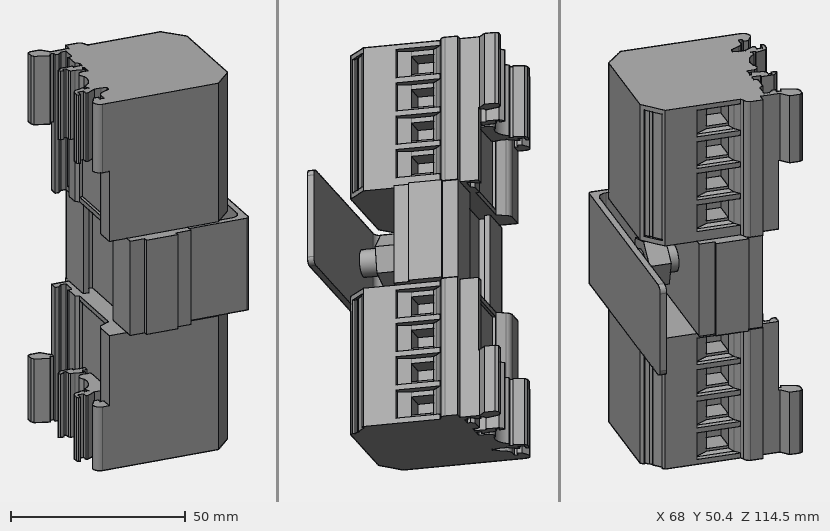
import cadquery as cq
import math


total_height = 114.5
plate_thickness = 1.5
terminal_pitch = 10.1
terminal_count = 4
stack_height = terminal_count * terminal_pitch
lower_top = stack_height + plate_thickness
upper_bottom = total_height - stack_height - 2 * plate_thickness
carrier_mid_z = (lower_top + upper_bottom) / 2

body_left = -20.3
body_right = 19.9
body_back = 36.0
chamfer_y = 30.3
chamfer_left_x = -14.3
chamfer_right_x = 14.0
ledge_x = -22.7
ledge_bottom = 1.6
ledge_top = 7.5
foot_face = -3.9
leg_inner_x = -18.8
leg_tip_x = -17.6
foot_start_x = 14.1

lower_clip_height = 19.9
upper_clip_height = 21.4
clip_root = 2.3
foot_overlap = 0.6
clip_tip = -10.4

recess_depth = 0.9
narrow_recess = (leg_tip_x, -14.9)
wide_recess = (-9.3, 10.3)

window_height = 8.5
window_top_y = 20.7
window_floor_y = 9.0
window_depth = 1.7
funnel_depth = 1.1
funnel_rise = 0.7
socket_top_y = 17.0
socket_bottom_y = 10.3
socket_margin = 1.5
socket_depth = 6.9

groove_depth = 0.7
groove_low_y = 31.0
groove_high_y = 35.0
slot_depth = 0.9
slot_low_y = 33.4
slot_high_y = 34.1

carrier_half_x = 22.2
carrier_rib = 1.3
carrier_back = 20.7
rib_low_y = 6.2
rib_high_y = 16.0
carrier_pocket_half = 10.3
carrier_lip = 1.7
carrier_pocket_depth = 4.1
carrier_undercut = 2.9

tag_thickness = 2.0
tag_left = -44.5
tag_right = 20.3
tag_back = 40.0
tag_height = 28.7
tag_outer_radius = 0.9
tag_inner_radius = 2.7
tag_corner_radius = 2.1

stud_diameter = 8.0
stud_end = 36.4
nut_across_corners = 15.3
nut_low_y = 24.2
nut_high_y = 30.7
nut_turn = 16.3


def box_between(x_range, y_range, z_range):
    """Axis-aligned box given by its limits."""
    return (
        cq.Workplane("XY", origin=(x_range[0], y_range[0], z_range[0]))
        .box(x_range[1] - x_range[0], y_range[1] - y_range[0], z_range[1] - z_range[0], centered=False)
    )


def block_outline():
    """Terminal block outline, without the rail clips."""
    return (
        cq.Workplane("XY")
        .moveTo(body_left, ledge_top)
        .lineTo(body_left, chamfer_y)
        .lineTo(chamfer_left_x, body_back)
        .lineTo(chamfer_right_x, body_back)
        .lineTo(body_right, chamfer_y)
        .lineTo(body_right, foot_face)
        .lineTo(foot_start_x, foot_face)
        .threePointArc((12.9, -3.5), (12.1, -2.6))
        .lineTo(10.8, 0)
        .lineTo(-9.3, 0)
        .lineTo(-10.0, -1.1)
        .lineTo(-14.2, -1.1)
        .lineTo(-14.9, 0)
        .lineTo(leg_inner_x, 0)
        .lineTo(leg_inner_x, -1.6)
        .lineTo(leg_tip_x, -2.7)
        .lineTo(leg_tip_x, foot_face)
        .lineTo(body_left, foot_face)
        .lineTo(body_left, ledge_bottom)
        .lineTo(ledge_x, ledge_bottom)
        .lineTo(ledge_x, 5.4)
        .threePointArc((-22.2, 6.4), (-21.2, 7.0))
        .close()
    )


def left_clip():
    """Latch hanging from the leg."""
    return cq.Workplane("XY").polyline([
        (body_left, foot_face + foot_overlap), (leg_inner_x, foot_face + foot_overlap),
        (leg_inner_x, -5.0), (leg_tip_x, -5.4),
        (-19.1, -9.8), (-20.2, clip_tip), (-22.1, clip_tip), (ledge_x, -9.5),
        (ledge_x, -6.4), (body_left, -4.2),
    ]).close()


def middle_clip():
    """Slim hook left of the saddle."""
    return cq.Workplane("XY").polyline([
        (-7.7, clip_root), (-7.7, -2.6), (-8.4, -2.6), (-8.4, -6.5),
        (-7.1, -7.8), (-6.8, -7.8), (-6.4, -7.3),
        (-6.4, -6.2), (-7.3, -6.2), (-7.3, -5.2), (-6.0, -5.0), (-5.4, -4.6),
        (-5.3, -3.2), (-4.8, -1.6), (-4.7, -0.2),
        (-5.5, -0.7), (-6.2, -0.5), (-6.2, clip_root),
    ]).close()


def saddle_clip():
    """Arched saddle that ends in a hook on its right."""
    return (
        cq.Workplane("XY")
        .moveTo(-3.5, clip_root)
        .lineTo(-3.5, -2.2)
        .threePointArc((-1.7, -3.4), (-0.3, -2.7))
        .threePointArc((3.1, -2.9), (6.1, -5.3))
        .lineTo(7.1, -5.3)
        .lineTo(7.7, -4.8)
        .lineTo(7.7, -6.2)
        .lineTo(6.9, -6.2)
        .lineTo(7.9, -9.4)
        .lineTo(8.9, -10.0)
        .lineTo(10.6, -10.0)
        .lineTo(11.2, -9.6)
        .lineTo(11.2, -8.9)
        .lineTo(9.2, -8.9)
        .lineTo(9.2, -7.1)
        .lineTo(10.8, -7.1)
        .lineTo(10.8, -6.4)
        .lineTo(9.2, -3.7)
        .lineTo(9.2, -1.6)
        .lineTo(9.6, 0)
        .lineTo(9.6, clip_root)
        .close()
    )


def right_clip():
    """Rounded hook below the foot."""
    return (
        cq.Workplane("XY")
        .moveTo(body_right, foot_face + foot_overlap)
        .lineTo(16.1, foot_face + foot_overlap)
        .lineTo(16.1, -5.0)
        .lineTo(14.9, -5.0)
        .lineTo(14.9, -6.5)
        .lineTo(17.3, -8.0)
        .threePointArc((19.1, -7.5), (body_right, -6.1))
        .close()
    )


def window_cutter(z_low):
    """Wire entry: shallow window, tapered funnel and square socket."""
    z_high = z_low + window_height
    funnel_x = body_left + window_depth
    socket_x = funnel_x + funnel_depth
    socket_y = (socket_bottom_y, socket_top_y)
    socket_z = z_low + socket_margin

    window = (
        cq.Workplane("XY", origin=(0, 0, z_low))
        .polyline([
            (body_left, ledge_top), (body_left, window_top_y),
            (funnel_x, window_top_y), (funnel_x, window_floor_y),
        ])
        .close()
        .extrude(window_height)
    )
    mouth = [
        (window_floor_y, z_low), (window_top_y, z_low),
        (window_top_y, z_high), (window_floor_y, z_high),
    ]
    throat_z = z_low + funnel_rise
    throat = [
        (socket_bottom_y, throat_z), (socket_top_y, throat_z),
        (socket_top_y, z_high), (socket_bottom_y, z_high),
    ]
    funnel = (
        cq.Workplane("YZ", origin=(funnel_x, 0, 0))
        .polyline(mouth).close()
        .workplane(offset=funnel_depth)
        .polyline(throat).close()
        .loft(ruled=True)
    )
    socket = box_between((socket_x, socket_x + socket_depth), socket_y, (socket_z, z_high - socket_margin))
    return window.union(funnel).union(socket)


def groove_cutter(low_y, high_y, depth, z_low, height):
    """Groove cut square to the left chamfer, between two Y places on it."""
    run = chamfer_left_x - body_left
    rise = body_back - chamfer_y
    length = math.hypot(run, rise)
    inward = (rise / length * depth, -run / length * depth)

    def on_chamfer(y):
        return body_left + (y - chamfer_y) * run / rise, y

    low = on_chamfer(low_y)
    high = on_chamfer(high_y)
    return (
        cq.Workplane("XY", origin=(0, 0, z_low))
        .polyline([
            low, high,
            (high[0] + inward[0], high[1] + inward[1]),
            (low[0] + inward[0], low[1] + inward[1]),
        ])
        .close()
        .extrude(height)
    )


def terminal_block(z_low, z_high, clip_low, clip_height):
    """Stack of terminals whose top plate ends at z_high."""
    stack_top = z_high - plate_thickness
    stack_bottom = stack_top - stack_height

    block = block_outline().extrude(z_high - z_low).translate((0, 0, z_low))
    for x_range in (narrow_recess, wide_recess):
        block = block.cut(box_between(x_range, (0, recess_depth), (stack_bottom, stack_top)))
    block = block.cut(groove_cutter(groove_low_y, groove_high_y, groove_depth, stack_bottom, stack_height))
    block = block.cut(groove_cutter(slot_low_y, slot_high_y, slot_depth, stack_bottom, stack_height))
    for i in range(terminal_count):
        block = block.cut(window_cutter(stack_top - i * terminal_pitch - window_height))
    for clip in (left_clip, middle_clip, saddle_clip, right_clip):
        block = block.union(clip().extrude(clip_height).translate((0, 0, clip_low)))
    return block


def carrier():
    """Centre piece between the blocks, with side ribs and an undercut front pocket."""
    z_range = (lower_top, upper_bottom)
    rib_half_x = carrier_half_x + carrier_rib
    body = box_between((-carrier_half_x, carrier_half_x), (ledge_bottom, carrier_back), z_range)
    ribs = box_between((-rib_half_x, rib_half_x), (rib_low_y, rib_high_y), z_range)
    pocket = box_between(
        (-carrier_pocket_half, carrier_pocket_half),
        (ledge_bottom, ledge_bottom + carrier_pocket_depth),
        z_range,
    )
    undercut_half = carrier_pocket_half + carrier_undercut
    undercut = box_between(
        (-undercut_half, undercut_half),
        (ledge_bottom + carrier_lip, ledge_bottom + carrier_pocket_depth),
        z_range,
    )
    return body.union(ribs).cut(pocket).cut(undercut)


def tag_plate():
    """Bent sheet: a leg on the carrier and a long tag behind the blocks."""
    z_low = carrier_mid_z - tag_height / 2
    inner_x = tag_right - tag_thickness
    inner_y = tag_back - tag_thickness
    sheet = (
        cq.Workplane("XY", origin=(0, 0, z_low))
        .moveTo(tag_left, tag_back)
        .lineTo(tag_right - tag_outer_radius, tag_back)
        .radiusArc((tag_right, tag_back - tag_outer_radius), tag_outer_radius)
        .lineTo(tag_right, carrier_back)
        .lineTo(inner_x, carrier_back)
        .lineTo(inner_x, inner_y - tag_inner_radius)
        .radiusArc((inner_x - tag_inner_radius, inner_y), -tag_inner_radius)
        .lineTo(tag_left, inner_y)
        .close()
        .extrude(tag_height)
    )
    return sheet.edges("|Y").edges("<X").fillet(tag_corner_radius)


def stud_and_nut():
    """Threaded stud on the carrier with a hexagon nut, both along Y."""
    stud = (
        cq.Workplane("XZ", origin=(0, carrier_back, carrier_mid_z))
        .circle(stud_diameter / 2)
        .extrude(carrier_back - stud_end)
    )
    nut = (
        cq.Workplane("XZ", origin=(0, nut_low_y, carrier_mid_z))
        .transformed(rotate=(0, 0, -nut_turn))
        .polygon(6, nut_across_corners)
        .extrude(nut_low_y - nut_high_y)
    )
    return stud.union(nut)


lower_block = terminal_block(0, lower_top, 0, lower_clip_height)
upper_block = terminal_block(
    upper_bottom, total_height, total_height - upper_clip_height, upper_clip_height
)

result = (
    carrier()
    .union(lower_block)
    .union(upper_block)
    .union(tag_plate())
    .union(stud_and_nut())
)